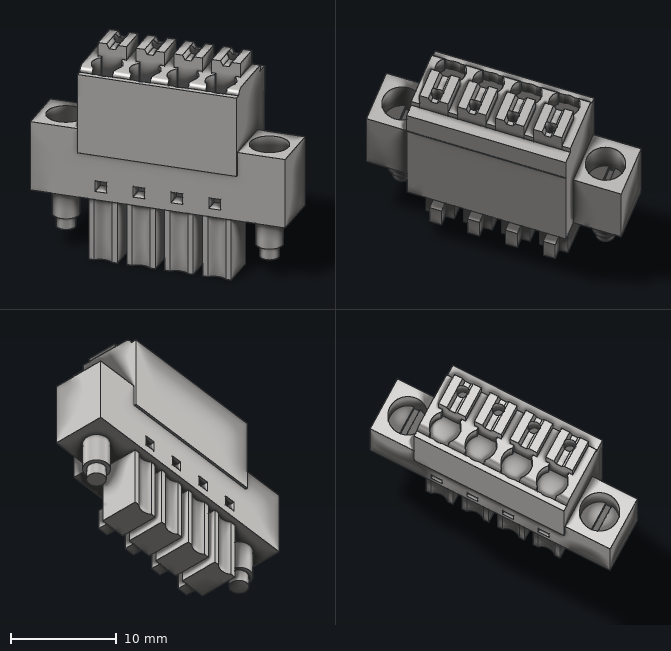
import cadquery as cq
import math


POLE_COUNT = 4
PITCH = 3.81
POLE_X = [(i - (POLE_COUNT - 1) / 2) * PITCH for i in range(POLE_COUNT)]

BODY_WIDTH = 16.0
BODY_FRONT = 0.22
BODY_BACK = 7.8
PANEL_BOTTOM = 4.7
LIP_BACK = 7.9
LIP_BOTTOM = 10.2
SHOULDER_Z = 12.83
LEDGE_Z = 13.45
LEDGE_FRONT = 0.58
LEDGE_RADIUS = 0.85
LEDGE_DROP = LEDGE_Z - SHOULDER_Z
LEDGE_ROUNDING_DEPTH = math.sqrt(LEDGE_RADIUS**2 - (LEDGE_RADIUS - LEDGE_DROP) ** 2)
LEDGE_BACK = 6.63

FLANGE_SPAN = 25.63
FLANGE_BACK = 5.8
FLANGE_HEIGHT = 7.1

ENTRY_DIAMETER = 3.0
ENTRY_Y = 2.0
ENTRY_SLOT_WIDTH = 2.03
ENTRY_FLOOR = 11.4

LEVER_WIDTH = 2.87
LEVER_FRONT = 3.4
LEVER_BACK = LEDGE_BACK
LEVER_BOTTOM = ENTRY_FLOOR
LEVER_TOP = 14.83
GROOVE_TOP_WIDTH = 1.12
GROOVE_BOTTOM_WIDTH = 0.6
GROOVE_DEPTH = 0.48
LEVER_HOLE_DIAMETER = 1.16
LEVER_HOLE_Y = 5.6
LEVER_HOLE_DEPTH = 2.5

WINDOW_WIDTH = 1.17
WINDOW_BOTTOM = 0.85
WINDOW_TOP = 1.95
WINDOW_DEPTH = 1.5

FINGER_WIDTH = 2.87
FINGER_FRONT = 0.84
FINGER_BACK = 4.92
FINGER_LENGTH = 6.57
FLUTE_WIDTH = 1.8
FLUTE_DEPTH = 0.35
TAB_WIDTH = 1.2
TAB_BACK = 6.17
TAB_TOP = -4.0
TAB_BOTTOM = -6.28

SCREW_SPACING = 20.46
SCREW_X = [-SCREW_SPACING / 2, SCREW_SPACING / 2]
SCREW_Y = (BODY_FRONT + FLANGE_BACK) / 2
HEAD_DIAMETER = 3.8
HEAD_SEAT = 2.0
HEAD_HEIGHT = 2.0
SHANK_DIAMETER = 2.64
SHANK_END = -3.2
TIP_DIAMETER = 1.85
TIP_END = -4.5
DRIVE_SLOT_WIDTH = 0.62
DRIVE_SLOT_DEPTH = 0.6


def box(x_center, width, y_range, z_range):
    """Block centred on x_center that fills the given Y and Z ranges."""
    y_min, y_max = y_range
    z_min, z_max = z_range
    corner = (x_center - width / 2, y_min, z_min)
    return cq.Workplane("XY").box(width, y_max - y_min, z_max - z_min, centered=False).translate(corner)


def cylinder(x, y, diameter, z_min, z_max):
    """Upright cylinder between two heights."""
    return cq.Workplane("XY", origin=(x, y, z_min)).circle(diameter / 2).extrude(z_max - z_min)


def body_block():
    """Central block: front panel, rounded top ledge and back lip, extruded along X."""
    return (
        cq.Workplane("YZ", origin=(-BODY_WIDTH / 2, 0, 0))
        .moveTo(BODY_FRONT, 0)
        .lineTo(BODY_FRONT, PANEL_BOTTOM)
        .lineTo(0, PANEL_BOTTOM)
        .lineTo(0, SHOULDER_Z)
        .lineTo(LEDGE_FRONT, SHOULDER_Z)
        .radiusArc((LEDGE_FRONT + LEDGE_ROUNDING_DEPTH, LEDGE_Z), LEDGE_RADIUS)
        .lineTo(LEDGE_BACK, LEDGE_Z)
        .lineTo(LEDGE_BACK, SHOULDER_Z)
        .lineTo(LIP_BACK, SHOULDER_Z)
        .lineTo(LIP_BACK, LIP_BOTTOM)
        .lineTo(BODY_BACK, LIP_BOTTOM)
        .lineTo(BODY_BACK, 0)
        .close()
        .extrude(BODY_WIDTH)
    )


def plug_finger(x):
    """Downward finger with a shallow concave flute in front and a narrow keying tab behind."""
    left = x - FINGER_WIDTH / 2
    right = x + FINGER_WIDTH / 2
    finger = (
        cq.Workplane("XY", origin=(0, 0, -FINGER_LENGTH))
        .moveTo(left, FINGER_FRONT)
        .lineTo(x - FLUTE_WIDTH / 2, FINGER_FRONT)
        .threePointArc((x, FINGER_FRONT + FLUTE_DEPTH), (x + FLUTE_WIDTH / 2, FINGER_FRONT))
        .lineTo(right, FINGER_FRONT)
        .lineTo(right, FINGER_BACK)
        .lineTo(left, FINGER_BACK)
        .close()
        .extrude(FINGER_LENGTH)
    )
    tab = box(x, TAB_WIDTH, (FINGER_BACK, TAB_BACK), (TAB_BOTTOM, TAB_TOP))
    return finger.union(tab)


def wire_entry(x):
    """Round wire entry crossed by a narrower slot from the front panel to the lever."""
    bore = cylinder(x, ENTRY_Y, ENTRY_DIAMETER, ENTRY_FLOOR, LEDGE_Z)
    slot = box(x, ENTRY_SLOT_WIDTH, (LEDGE_FRONT, LEVER_FRONT), (ENTRY_FLOOR, LEDGE_Z))
    return bore.union(slot)


def lever_pocket(x):
    return box(x, LEVER_WIDTH, (LEVER_FRONT, LEVER_BACK), (LEVER_BOTTOM, LEDGE_Z))


def test_window(x):
    depth_range = (BODY_FRONT, BODY_FRONT + WINDOW_DEPTH)
    return box(x, WINDOW_WIDTH, depth_range, (WINDOW_BOTTOM, WINDOW_TOP))


def screw_hole(x):
    """Stepped hole: clearance for the head above the seat and for the shank below it."""
    head_bore = cylinder(x, SCREW_Y, HEAD_DIAMETER, HEAD_SEAT, FLANGE_HEIGHT)
    shank_bore = cylinder(x, SCREW_Y, SHANK_DIAMETER, 0, HEAD_SEAT)
    return head_bore.union(shank_bore)


def make_housing():
    flanges = box(0, FLANGE_SPAN, (BODY_FRONT, FLANGE_BACK), (0, FLANGE_HEIGHT))
    body = body_block().union(flanges)
    for x in POLE_X:
        body = body.union(plug_finger(x))
        body = body.cut(wire_entry(x)).cut(lever_pocket(x)).cut(test_window(x))
    for x in SCREW_X:
        body = body.cut(screw_hole(x))
    return body


def make_lever(x):
    """Release lever with a tapered screwdriver groove and a round blind hole on top."""
    lever = box(x, LEVER_WIDTH, (LEVER_FRONT, LEVER_BACK), (LEVER_BOTTOM, LEVER_TOP))
    groove_floor = LEVER_TOP - GROOVE_DEPTH
    groove = (
        cq.Workplane("XZ", origin=(x, LEVER_BACK, 0))
        .moveTo(-GROOVE_TOP_WIDTH / 2, LEVER_TOP)
        .lineTo(-GROOVE_BOTTOM_WIDTH / 2, groove_floor)
        .lineTo(GROOVE_BOTTOM_WIDTH / 2, groove_floor)
        .lineTo(GROOVE_TOP_WIDTH / 2, LEVER_TOP)
        .close()
        .extrude(LEVER_BACK - LEVER_FRONT)
    )
    hole = cylinder(x, LEVER_HOLE_Y, LEVER_HOLE_DIAMETER, LEVER_TOP - LEVER_HOLE_DEPTH, LEVER_TOP)
    return lever.cut(groove).cut(hole)


def make_screw(x):
    """Flange screw with a slotted head, a plain shank and a stepped tip."""
    head_top = HEAD_SEAT + HEAD_HEIGHT
    head = cylinder(x, SCREW_Y, HEAD_DIAMETER, HEAD_SEAT, head_top)
    shank = cylinder(x, SCREW_Y, SHANK_DIAMETER, SHANK_END, HEAD_SEAT)
    tip = cylinder(x, SCREW_Y, TIP_DIAMETER, TIP_END, SHANK_END)
    head_range = (SCREW_Y - HEAD_DIAMETER / 2, SCREW_Y + HEAD_DIAMETER / 2)
    drive_slot = box(x, DRIVE_SLOT_WIDTH, head_range, (head_top - DRIVE_SLOT_DEPTH, head_top))
    return head.union(shank).union(tip).cut(drive_slot)


housing = make_housing()
levers = [make_lever(x) for x in POLE_X]
screws = [make_screw(x) for x in SCREW_X]

result = cq.Compound.makeCompound([body.solids().val() for body in [housing, *levers, *screws]])